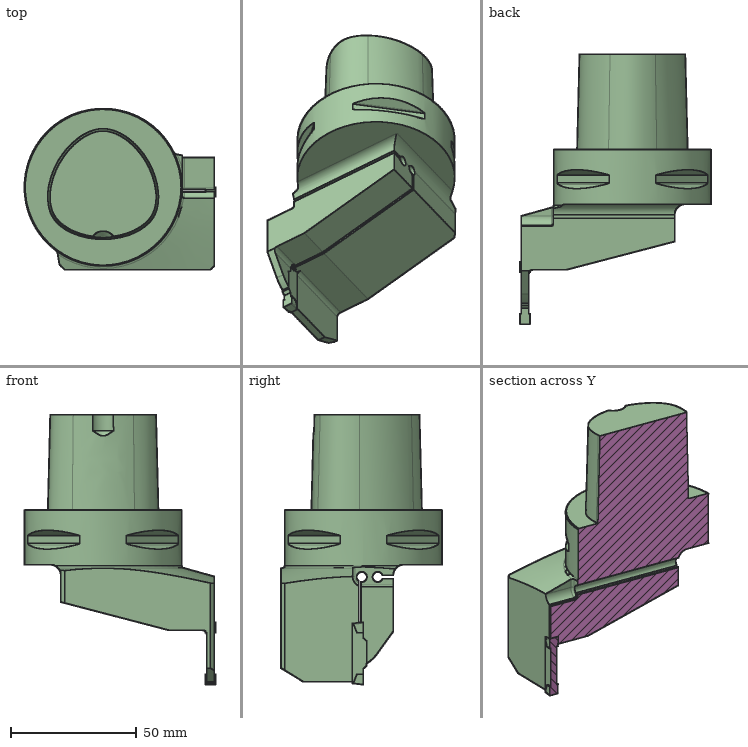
import cadquery as cq
import math


TOTAL_HEIGHT = 108

SHANK_HEIGHT = 38.0
SHANK_BASE_RADIUS = 22.1
SHANK_TAPER = 1 / 40
LOBE_RISE = 1.3
LOBE_HALF_ANGLE = 35.5
LOBE_COUNT = 3
LOBE_SPACING = 360 / LOBE_COUNT
FIRST_LOBE = 90
POINTS_PER_FACE = 9

KEYWAY_RADIUS = 5.0
KEYWAY_AXIS_Y = -22.5
KEYWAY_DEPTH = 6.4
KEYWAY_TIP_HEIGHT = 4.1

FLANGE_RADIUS = 63.0 / 2
FLANGE_HEIGHT = 22.0
FLANGE_CHAMFER = 0.3

GROOVE_COUNT = 4
GROOVE_FLOOR_DISTANCE = 27.9
GROOVE_MID_Z = -12.0
GROOVE_FLOOR_WIDTH = 3.0
GROOVE_STEP = 0.4
GROOVE_FLANK_ANGLE = 30
GROOVE_CUT_LENGTH = 43.2

ARM_LEFT_X = -17.0
ARM_RIGHT_X = 44.5
ARM_FRONT_Y = FLANGE_RADIUS - 64.5
ARM_BACK_Y = 12.0
ARM_LEFT_BOTTOM_Z = -36.9
ARM_BOTTOM_Z = -48.3
ARM_SLOPE_END_X = 26.5
ARM_CORNER_CHAMFER = 1.6
ARM_TOP_FILLET = 4.1
ARM_TOP_SLOPE = 15.7
RIM_EXTENSION = 0.3
SHOULDER_FILLET = 0.9

BLADE_THICKNESS = 3.1
BLADE_BOTTOM_Z = -68.8
BLADE_ROOT_FILLET = 1.6
BLADE_NOSE_Y = -24.1
BLADE_NOSE_Z = -63.3
BLADE_BACK_TOP_Z = -48.6
BLADE_BEND_Y = 5.4
BLADE_BEND_Z = -57.8
BLADE_ARC_RADIUS = 15.1
BLADE_TIP_Z = -61.6

RELIEF_RADIUS = 4.0 / 2
RELIEF_Z = -26.9
BACK_RELIEF_Y = 5.7
FRONT_RELIEF_Y = -0.6
BACK_SLIT_WIDTH = 1.3
CLAMP_SLIT_WIDTH = 0.9
CLAMP_SLIT_Y = -1.4

POCKET_LEFT_X = 31.6
POCKET_FRONT_Y = -4.3
POCKET_FLOOR_Z = -30.8
POCKET_FRONT_FILLET = 4.1
POCKET_SIDE_FILLET = 0.9

INSERT_BOTTOM_Z = SHANK_HEIGHT - TOTAL_HEIGHT
INSERT_HALF_LENGTH = 12.5
INSERT_MID_Z = INSERT_BOTTOM_Z + INSERT_HALF_LENGTH
INSERT_SEAT_Y = -4.5
INSERT_RELIEF = 0.5
RIDGE_HEIGHT = 1.3
RIDGE_HALF_LENGTH = 5.0
RIDGE_SLOPE = 1.2
HEAD_OVERHANG = 0.49
HEAD_START = 8.3
HEAD_STEP_Y = -2.6
HEAD_TOE_Y = -3.9
HEAD_TOE = 11.5
HEAD_CORNER_RADIUS = 0.3

BLADE_LEFT_X = ARM_RIGHT_X - BLADE_THICKNESS
SELECT_MARGIN = 0.1
LOOSE = 5.4


def box(x, y, z):
    """Box between two limits along each axis."""
    return (
        cq.Workplane("XY")
        .box(x[1] - x[0], y[1] - y[0], z[1] - z[0], centered=False)
        .translate((x[0], y[0], z[0]))
    )


def extrude_along_x(outline, x_start, x_end):
    """Extrude a closed (Y, Z) outline between two X positions."""
    return outline.extrude(x_end - x_start).translate((x_start, 0, 0))



def lobe_point(mean_radius, angle):
    """Point on the lobed outline whose outward normal has the given angle."""
    normal = math.radians(angle)
    phase = LOBE_COUNT * (normal - math.radians(FIRST_LOBE))
    reach = mean_radius + LOBE_RISE * math.cos(phase)
    shift = -LOBE_COUNT * LOBE_RISE * math.sin(phase)
    x = reach * math.cos(normal) - shift * math.sin(normal)
    y = reach * math.sin(normal) + shift * math.cos(normal)
    return cq.Vector(x, y, 0)


def lobe_edge(mean_radius, start, end):
    """Smooth edge of the outline between two normal angles."""
    step = (end - start) / (POINTS_PER_FACE - 1)
    points = [lobe_point(mean_radius, start + i * step) for i in range(POINTS_PER_FACE)]
    tangents = [
        cq.Vector(-math.sin(math.radians(a)), math.cos(math.radians(a)), 0) for a in (start, end)
    ]
    return cq.Edge.makeSpline(points, tangents=tangents)


def lobe_wire(mean_radius, z):
    """Closed outline at height z: a face over each lobe and a flatter one between lobes."""
    edges = []
    for lobe in range(LOBE_COUNT):
        middle = FIRST_LOBE + lobe * LOBE_SPACING
        lobe_end = middle + LOBE_HALF_ANGLE
        edges.append(lobe_edge(mean_radius, middle - LOBE_HALF_ANGLE, lobe_end))
        edges.append(lobe_edge(mean_radius, lobe_end, middle + LOBE_SPACING - LOBE_HALF_ANGLE))
    return cq.Wire.assembleEdges(edges).translate(cq.Vector(0, 0, z))


def make_shank():
    top_radius = SHANK_BASE_RADIUS - SHANK_HEIGHT * SHANK_TAPER
    base = lobe_wire(SHANK_BASE_RADIUS, 0)
    top = lobe_wire(top_radius, SHANK_HEIGHT)
    shank = cq.Workplane(cq.Solid.makeLoft([base, top], True))

    floor_z = SHANK_HEIGHT - KEYWAY_DEPTH
    keyway = (
        cq.Workplane("XZ")
        .moveTo(0, floor_z - KEYWAY_TIP_HEIGHT)
        .lineTo(KEYWAY_RADIUS, floor_z)
        .lineTo(KEYWAY_RADIUS, SHANK_HEIGHT)
        .lineTo(0, SHANK_HEIGHT)
        .close()
        .revolve(360, (0, 0), (0, 1))
        .translate((0, KEYWAY_AXIS_Y, 0))
    )
    return shank.cut(keyway)



def make_gripper_groove():
    """Cutting shape of the groove on the +X side."""
    floor = GROOVE_FLOOR_WIDTH / 2
    corner = floor + GROOVE_STEP
    flank_start = GROOVE_FLOOR_DISTANCE + GROOVE_STEP
    outside = FLANGE_RADIUS + LOOSE
    mouth = corner + (outside - flank_start) * math.tan(math.radians(GROOVE_FLANK_ANGLE))
    upper = [(GROOVE_FLOOR_DISTANCE, floor), (flank_start, corner), (outside, mouth)]
    lower = [(x, -z) for x, z in reversed(upper)]
    return (
        cq.Workplane("XZ")
        .polyline(upper + lower)
        .close()
        .extrude(GROOVE_CUT_LENGTH / 2, both=True)
        .translate((0, 0, GROOVE_MID_Z))
    )


def make_flange():
    flange = (
        cq.Workplane("XY")
        .circle(FLANGE_RADIUS)
        .extrude(-FLANGE_HEIGHT)
        .faces(">Z")
        .chamfer(FLANGE_CHAMFER)
    )
    groove = make_gripper_groove()
    spacing = 360 / GROOVE_COUNT
    for i in range(GROOVE_COUNT):
        flange = flange.cut(groove.rotate((0, 0, 0), (0, 0, 1), (i + 0.5) * spacing))
    return flange



def make_arm_envelope():
    """Body of revolution that limits the arm: flange rim, shoulder fillet and conical upper face."""
    shoulder_x = FLANGE_RADIUS + SHOULDER_FILLET
    shoulder_z = -FLANGE_HEIGHT - RIM_EXTENSION
    cone_top_z = shoulder_z - SHOULDER_FILLET
    outer_x = math.hypot(ARM_RIGHT_X, ARM_FRONT_Y) + LOOSE
    outer_z = cone_top_z - (outer_x - shoulder_x) * math.tan(math.radians(ARM_TOP_SLOPE))
    bottom_z = BLADE_BOTTOM_Z - LOOSE
    return (
        cq.Workplane("XZ")
        .moveTo(0, -FLANGE_HEIGHT)
        .lineTo(FLANGE_RADIUS, -FLANGE_HEIGHT)
        .lineTo(FLANGE_RADIUS, shoulder_z)
        .radiusArc((shoulder_x, cone_top_z), -SHOULDER_FILLET)
        .lineTo(outer_x, outer_z)
        .lineTo(outer_x, bottom_z)
        .lineTo(0, bottom_z)
        .close()
        .revolve(360, (0, 0), (0, 1))
    )


def make_arm_blank():
    """Arm and blade in front outline, joined to a plate by the fillet under the flange."""
    plate = box(
        (-FLANGE_RADIUS - LOOSE, ARM_RIGHT_X),
        (ARM_FRONT_Y, FLANGE_RADIUS + LOOSE),
        (-FLANGE_HEIGHT, -FLANGE_HEIGHT + LOOSE),
    )
    arm = (
        cq.Workplane("XZ", origin=(0, ARM_BACK_Y, 0))
        .moveTo(ARM_LEFT_X, -FLANGE_HEIGHT)
        .lineTo(ARM_LEFT_X, ARM_LEFT_BOTTOM_Z)
        .lineTo(ARM_SLOPE_END_X, ARM_BOTTOM_Z)
        .lineTo(BLADE_LEFT_X - BLADE_ROOT_FILLET, ARM_BOTTOM_Z)
        .radiusArc((BLADE_LEFT_X, ARM_BOTTOM_Z - BLADE_ROOT_FILLET), BLADE_ROOT_FILLET)
        .lineTo(BLADE_LEFT_X, BLADE_BOTTOM_Z)
        .lineTo(ARM_RIGHT_X, BLADE_BOTTOM_Z)
        .lineTo(ARM_RIGHT_X, -FLANGE_HEIGHT)
        .close()
        .extrude(ARM_BACK_Y - ARM_FRONT_Y)
    )
    left_and_back_edges = cq.selectors.BoxSelector(
        (ARM_LEFT_X - SELECT_MARGIN, ARM_FRONT_Y + SELECT_MARGIN, -FLANGE_HEIGHT - SELECT_MARGIN),
        (ARM_RIGHT_X - SELECT_MARGIN, ARM_BACK_Y + SELECT_MARGIN, -FLANGE_HEIGHT + SELECT_MARGIN),
    )
    return plate.union(arm).edges(left_and_back_edges).fillet(ARM_TOP_FILLET)


def make_corner_cuts():
    """Two upright prisms that chamfer the front corners of the arm, fillet included."""
    reach = ARM_CORNER_CHAMFER + ARM_TOP_FILLET
    corner_cuts = cq.Workplane("XY")
    for corner_x, outward in ((ARM_LEFT_X, -1), (ARM_RIGHT_X, 1)):
        prism = (
            cq.Workplane("XY", origin=(0, 0, BLADE_BOTTOM_Z))
            .moveTo(corner_x - outward * ARM_CORNER_CHAMFER, ARM_FRONT_Y)
            .line(outward * reach, reach)
            .line(0, -reach)
            .close()
            .extrude(-FLANGE_HEIGHT - BLADE_BOTTOM_Z)
        )
        corner_cuts = corner_cuts.add(prism)
    return corner_cuts.combine()


def make_blade_outline():
    """Outline of arm and blade in Y and Z, as a solid to intersect with the arm."""
    top = -FLANGE_HEIGHT
    side = FLANGE_RADIUS + LOOSE
    outline = (
        cq.Workplane("YZ")
        .moveTo(ARM_FRONT_Y, top)
        .lineTo(ARM_FRONT_Y, BLADE_NOSE_Z)
        .lineTo(BLADE_NOSE_Y, BLADE_BOTTOM_Z)
        .lineTo(0, BLADE_BOTTOM_Z)
        .lineTo(0, BLADE_TIP_Z)
        .lineTo(RIDGE_HEIGHT, BLADE_TIP_Z)
        .radiusArc((BLADE_BEND_Y, BLADE_BEND_Z), -BLADE_ARC_RADIUS)
        .lineTo(ARM_BACK_Y, BLADE_BACK_TOP_Z)
        .lineTo(side, BLADE_BACK_TOP_Z)
        .lineTo(side, top)
        .close()
    )
    return extrude_along_x(outline, -FLANGE_RADIUS - LOOSE, ARM_RIGHT_X + LOOSE)


def cut_clamp_slits(arm):
    x_limits = (ARM_LEFT_X - LOOSE, ARM_RIGHT_X + LOOSE)
    for y in (BACK_RELIEF_Y, FRONT_RELIEF_Y):
        hole = cq.Workplane("YZ").center(y, RELIEF_Z).circle(RELIEF_RADIUS)
        arm = arm.cut(extrude_along_x(hole, *x_limits))
    back_slit = box(
        x_limits,
        (BACK_RELIEF_Y, ARM_BACK_Y + LOOSE),
        (RELIEF_Z - BACK_SLIT_WIDTH / 2, RELIEF_Z + BACK_SLIT_WIDTH / 2),
    )
    clamp_slit = box(
        x_limits,
        (CLAMP_SLIT_Y - CLAMP_SLIT_WIDTH / 2, CLAMP_SLIT_Y + CLAMP_SLIT_WIDTH / 2),
        (INSERT_MID_Z, RELIEF_Z),
    )
    return arm.cut(back_slit).cut(clamp_slit)


def make_pocket():
    pocket = box(
        (POCKET_LEFT_X, ARM_RIGHT_X + LOOSE),
        (POCKET_FRONT_Y, ARM_BACK_Y + LOOSE),
        (POCKET_FLOOR_Z, -FLANGE_HEIGHT),
    )
    pocket = pocket.edges("<Y and <Z").fillet(POCKET_FRONT_FILLET)
    return pocket.edges("<X and <Z").fillet(POCKET_SIDE_FILLET)



def make_cutting_head():
    """Wide cutting head at the lower end of the insert, with Z = 0 at the insert's middle."""
    end_slope = INSERT_RELIEF / INSERT_SEAT_Y
    outline = cq.Workplane("YZ").polyline([
        (0, -HEAD_START),
        (0, -INSERT_HALF_LENGTH),
        (HEAD_TOE_Y, -INSERT_HALF_LENGTH + HEAD_TOE_Y * end_slope),
        (HEAD_TOE_Y, -HEAD_TOE),
        (HEAD_STEP_Y, -HEAD_START),
    ]).close()
    head = extrude_along_x(outline, BLADE_LEFT_X - HEAD_OVERHANG, ARM_RIGHT_X + HEAD_OVERHANG)
    return head.faces("<Z").edges("<X or >X").fillet(HEAD_CORNER_RADIUS)


def make_insert_body(x_start, x_end):
    """Insert without its wide heads, between two X positions and with Z = 0 at its middle."""
    upper = [
        (RIDGE_HEIGHT, RIDGE_HALF_LENGTH),
        (0, RIDGE_HALF_LENGTH + RIDGE_SLOPE),
        (0, INSERT_HALF_LENGTH),
        (INSERT_SEAT_Y, INSERT_HALF_LENGTH - INSERT_RELIEF),
    ]
    lower = [(y, -z) for y, z in reversed(upper)]
    return extrude_along_x(cq.Workplane("YZ").polyline(upper + lower).close(), x_start, x_end)


def make_insert():
    head = make_cutting_head()
    insert = make_insert_body(BLADE_LEFT_X, ARM_RIGHT_X).union(head).union(head.mirror("XY"))
    return insert.translate((0, 0, INSERT_MID_Z))


def make_seat_opening():
    """Cutting shape that frees the left side of the insert from the blade root fillet."""
    x_limits = (BLADE_LEFT_X - BLADE_ROOT_FILLET, BLADE_LEFT_X)
    opening = make_insert_body(*x_limits).translate((0, 0, INSERT_MID_Z))
    root = box(x_limits, (INSERT_SEAT_Y, RIDGE_HEIGHT), (INSERT_MID_Z, ARM_BOTTOM_Z))
    return opening.intersect(root)


def make_holder(insert):
    arm = make_arm_blank().intersect(make_arm_envelope()).intersect(make_blade_outline())
    arm = arm.cut(make_corner_cuts())
    arm = cut_clamp_slits(arm).cut(make_pocket())
    arm = arm.cut(make_seat_opening()).cut(insert)
    return make_shank().union(make_flange()).union(arm)


insert = make_insert()
holder = make_holder(insert)
result = cq.Compound.makeCompound([holder.val(), insert.val()])